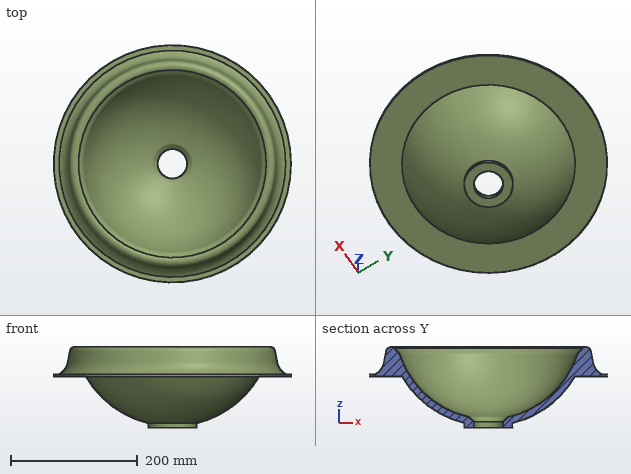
import cadquery as cq
import math


total_height = 128.5
flange_radius = 187.5
flange_bottom = 81.0
flange_thickness = 4.0
flange_top = flange_bottom + flange_thickness

foot_radius = 179.0
wall_base = (166.0, 103.2)
wall_top = (162.5, 121.2)

roll_end_radius = 148.3
lip_groove = (147.5, 124.5)
lip_top = (146.0, 122.7)
lip_bulge = 0.5
lip_shoulder = (140.7, 117.0)
lip_throat = (139.2, 113.7)
bowl_mouth_height = 110.5

bowl_centre_height = 161.5
bowl_outer_radius = 158.8
bowl_wall = 11.5
bowl_inner_radius = bowl_outer_radius - bowl_wall

neck_radius = 77.0 / 2
drain_radius = 46.0 / 2
countersink_radius = 31.0
countersink_bottom = 10.0
countersink_edge_fillet = 3.0


def sphere_height(sphere_radius, radius):
    """Height of the lower half of a bowl sphere at a distance from the axis."""
    return bowl_centre_height - math.sqrt(sphere_radius**2 - radius**2)


def sphere_width(sphere_radius, height):
    """Distance from the axis of a bowl sphere at a height."""
    return math.sqrt(sphere_radius**2 - (height - bowl_centre_height) ** 2)


def bulged_midpoint(start, end, bulge):
    """Middle of an arc bowing right of the line from start to end (left if negative)."""
    dx = end[0] - start[0]
    dy = end[1] - start[1]
    length = math.hypot(dx, dy)
    middle_x = (start[0] + end[0]) / 2 + bulge * dy / length
    middle_y = (start[1] + end[1]) / 2 - bulge * dx / length
    return (middle_x, middle_y)


def sphere_midpoint(sphere_radius, start, end):
    """Point on a bowl sphere midway in radius between two of its points."""
    radius = (start[0] + end[0]) / 2
    return (radius, sphere_height(sphere_radius, radius))


lean = math.atan2(wall_base[0] - wall_top[0], wall_top[1] - wall_base[1])
foot = (foot_radius, flange_top)
foot_chord = math.dist(foot, wall_base)
chord_lean = math.atan2(foot[0] - wall_base[0], wall_base[1] - foot[1])
foot_bulge = foot_chord / 2 * math.tan((chord_lean - lean) / 2)

roll_radius = (total_height - wall_top[1]) / (1 - math.sin(lean))
roll_centre = (wall_top[0] - roll_radius * math.cos(lean), total_height - roll_radius)
roll_top = (roll_centre[0], total_height)
roll_end_offset = roll_centre[0] - roll_end_radius
roll_end_height = roll_centre[1] + math.sqrt(roll_radius**2 - roll_end_offset**2)
roll_end = (roll_end_radius, roll_end_height)

bowl_mouth = (sphere_width(bowl_inner_radius, bowl_mouth_height), bowl_mouth_height)
countersink_top = (countersink_radius, sphere_height(bowl_inner_radius, countersink_radius))
neck_top = (neck_radius, sphere_height(bowl_outer_radius, neck_radius))
bowl_under_flange = (sphere_width(bowl_outer_radius, flange_bottom), flange_bottom)

profile = (
    cq.Workplane("XZ")
    .moveTo(drain_radius, 0)
    .lineTo(neck_radius, 0)
    .lineTo(*neck_top)
    .threePointArc(sphere_midpoint(bowl_outer_radius, neck_top, bowl_under_flange), bowl_under_flange)
    .lineTo(flange_radius, flange_bottom)
    .lineTo(flange_radius, flange_top)
    .lineTo(*foot)
    .threePointArc(bulged_midpoint(foot, wall_base, -foot_bulge), wall_base)
    .lineTo(*wall_top)
    .threePointArc(roll_top, roll_end)
    .lineTo(*lip_groove)
    .lineTo(*lip_top)
    .threePointArc(bulged_midpoint(lip_top, lip_shoulder, lip_bulge), lip_shoulder)
    .lineTo(*lip_throat)
    .lineTo(*bowl_mouth)
    .threePointArc(sphere_midpoint(bowl_inner_radius, bowl_mouth, countersink_top), countersink_top)
    .lineTo(drain_radius, countersink_bottom)
    .close()
)
basin = profile.revolve(360, (0, 0), (0, 1))

edge_reach = 2 * countersink_radius
edge_band = 0.5
countersink_edge = cq.selectors.BoxSelector(
    (-edge_reach, -edge_reach, countersink_top[1] - edge_band),
    (edge_reach, edge_reach, countersink_top[1] + edge_band),
)
result = basin.edges(countersink_edge).fillet(countersink_edge_fillet)